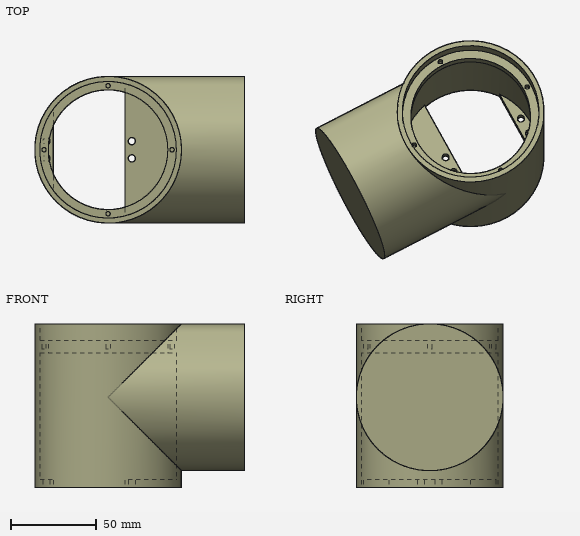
import cadquery as cq

outer_diameter = 86.0
height = 96.0
overall_length = 123.0
bore_diameter = 80.0

mouth_depth = 9.8
ring_opening = 70.0
ring_thickness = 7.4
ring_hole_diameter = 2.6
ring_hole_depth = 4.9
ring_hole_count = 4

floor_thickness = 4.9
slot_left = -32.0
slot_right = 9.8
floor_hole_diameter = 4.0
floor_hole_inset = 4.0
floor_hole_spacing = 10.1

outer_radius = outer_diameter / 2
ring_top = height - mouth_depth
ring_bottom = ring_top - ring_thickness
ring_hole_circle = (bore_diameter + ring_opening) / 4
branch_axis_height = height - outer_radius
branch_length = overall_length - outer_radius


def upright_cylinder(diameter, bottom, top):
    return cq.Workplane("XY").workplane(offset=bottom).circle(diameter / 2).extrude(top - bottom)


def outer_body():
    upright = upright_cylinder(outer_diameter, 0, height)
    branch = cq.Workplane("YZ").center(0, branch_axis_height).circle(outer_radius).extrude(branch_length)
    return upright.union(branch)


def stepped_bore():
    mouth = upright_cylinder(bore_diameter, ring_top, height)
    opening = upright_cylinder(ring_opening, ring_bottom, ring_top)
    chamber = upright_cylinder(bore_diameter, floor_thickness, ring_bottom)
    return chamber.union(opening).union(mouth)


def floor_slot():
    slot_width = slot_right - slot_left
    slot_center = (slot_left + slot_right) / 2
    strip = cq.Workplane("XY").center(slot_center, 0).rect(slot_width, bore_diameter).extrude(floor_thickness)
    return strip.intersect(upright_cylinder(bore_diameter, 0, floor_thickness))


def floor_holes():
    places = []
    for x in (slot_left - floor_hole_inset, slot_right + floor_hole_inset):
        for side in (-1, 1):
            places.append((x, side * floor_hole_spacing / 2))
    return cq.Workplane("XY").pushPoints(places).circle(floor_hole_diameter / 2).extrude(floor_thickness)


def ring_holes():
    return (
        cq.Workplane("XY")
        .workplane(offset=ring_top)
        .polarArray(ring_hole_circle, 0, 360, ring_hole_count)
        .circle(ring_hole_diameter / 2)
        .extrude(-ring_hole_depth)
    )


result = outer_body().cut(stepped_bore()).cut(floor_slot()).cut(floor_holes()).cut(ring_holes())